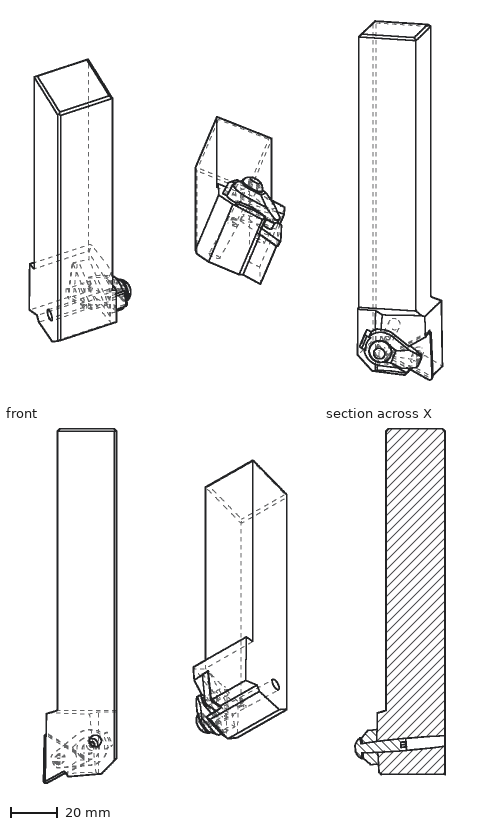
import cadquery as cq
import math

shank_side = 25.4
top_z = 151.9
edge_chamfer = 1.0

head_top_z = 30.0
head_step_z = 31.3
head_left_top = -4.7
head_left_bottom = -5.2
head_tip_z = 0.9
notch_x, notch_z = 2.9, 5.3
toe_left_x, toe_left_z = 4.7, 2.9
toe_right_x, toe_right_z = 18.8, 4.1
corner_z = 10.8
head_back_left = 28.4
head_back_crest = 30.1
head_back_lean = 4
recess_y = 27.0
recess_lean = 1
step_cove_radius = 0.8
crest_left_x = 9.7
ramp_start_x, ramp_end_x = 13.7, 17.5
bevel_top_z = 4.9
back_drop = (head_top_z - bevel_top_z) * math.tan(math.radians(head_back_lean))
head_slope = (head_step_z - head_top_z) / (head_back_crest - shank_side)
beyond = 45.5

tilt_angle = 5

shim_edge = 22.6
shim_thickness = 2.7
shim_corner_radius = 1.0
lead_angle = 1.5
shim_tip_x, shim_tip_z = -5.8, -0.5
seat_y = 18.2
pocket_overrun = 4.5

pin_diameter = 4.0
pin_above_shim = 3.5
pin_in_holder = 4.5
pin_socket_width = 1.8
pin_socket_depth = 0.9

axis_x, axis_z = 16.3, 18.2
hole_diameter = 5.0
clamp_base = 25.5
clamp_top = 35.5
nose_underside = 28.0
nose_end_top = 29.5
heel_top = 33.4
screw_end = 16.7
washer_thickness = 0.6
screw_head_height = 2.5
screw_head_diameter = 9.7
screw_head_flat = 4.9
screw_dome_middle = 8.2
screw_socket_width = 2.5
screw_socket_depth = 2.3
clamp_radius = 7.6
clamp_bevel = 2.9
nose_length = 17.2
nose_end_width = 5.5
nose_corner_radius = 1.8
nose_slope_start = 6.1
heel_length = 9.1
heel_width = 6.1
heel_chamfer = 1.2
nose_turn = 22


def facing_back(x, y, z):
    """Workplane whose normal is +Y, with local x along X and local y along -Z."""
    return cq.Workplane(cq.Plane((x, y, z), xDir=(1, 0, 0), normal=(0, 1, 0)))


def tilted(body, x, y, z):
    """Lean a body built along +Y towards -Z and -X about the given point."""
    leaned = body.rotate((x, y, z), (x + 1.5, y, z), -tilt_angle)
    return leaned.rotate((x, y, z), (x, y, z + 1.5), tilt_angle)


def along_axis(body):
    return tilted(body, axis_x, 0, axis_z)


def on_seat(body):
    return tilted(body, shim_tip_x, seat_y, shim_tip_z)


def triangle_points(overrun):
    """Corners of the shim triangle; two of them are pulled outwards by the overrun."""
    def direction(degrees):
        return math.cos(math.radians(degrees)), math.sin(math.radians(degrees))

    edge_turn = 60
    up = direction(90 - lead_angle)
    across = direction(90 - lead_angle - edge_turn)
    fall = direction(90 - lead_angle - 2 * edge_turn)
    inner = (shim_edge * across[0], shim_edge * across[1])
    tip = (-overrun * across[0], -overrun * across[1])
    upper = (shim_edge * up[0] - overrun * fall[0], shim_edge * up[1] - overrun * fall[1])
    return [tip, upper, inner]


def triangle_prism(overrun, height):
    points = [(x, -z) for x, z in triangle_points(overrun)]
    return facing_back(shim_tip_x, seat_y, shim_tip_z).polyline(points).close().extrude(height)


def pin_workplane(height):
    corners = triangle_points(0)
    centre_x = shim_tip_x + sum(x for x, _ in corners) / len(corners)
    centre_z = shim_tip_z + sum(z for _, z in corners) / len(corners)
    return facing_back(centre_x, seat_y + height, centre_z)


def make_shank():
    shank = cq.Workplane("XY").box(shank_side, shank_side, top_z - head_top_z, centered=False)
    shank = shank.translate((0, 0, head_top_z))
    return shank.faces(">Z").chamfer(edge_chamfer)


def upright_prism(outline, hinge_y, lean):
    """Prism along Z, leaned about an X line at the given Y and the top of the head."""
    prism = cq.Workplane("XY").polyline(outline).close().extrude(2 * beyond, both=True)
    return prism.rotate((0, hinge_y, head_top_z), (1, hinge_y, head_top_z), lean)


def make_head():
    outline = [
        (0, head_step_z),
        (head_left_top, head_top_z),
        (head_left_bottom, head_tip_z),
        (notch_x, notch_z),
        (toe_left_x, toe_left_z),
        (toe_right_x, toe_right_z),
        (shank_side, corner_z),
        (shank_side, head_step_z),
    ]
    head = cq.Workplane("XZ").polyline(outline).close().extrude(-beyond)

    back_outline = [
        (head_left_bottom, -head_top_z),
        (head_left_bottom, head_back_left),
        (crest_left_x, head_back_crest),
        (shank_side, head_back_crest),
        (shank_side, -head_top_z),
    ]
    head = head.intersect(upright_prism(back_outline, head_back_crest, -head_back_lean))

    recess_outline = [
        (ramp_start_x, head_back_crest),
        (ramp_end_x, recess_y),
        (beyond, recess_y),
        (beyond, beyond),
        (ramp_start_x, beyond),
    ]
    head = head.cut(upright_prism(recess_outline, recess_y, recess_lean))

    lower_back = head_back_crest - back_drop
    side_outline = [
        (0, 0),
        (lower_back - bevel_top_z, 0),
        (lower_back, bevel_top_z),
        (beyond, bevel_top_z),
        (beyond, head_top_z - (beyond - head_back_crest) * head_slope),
        (shank_side, head_step_z),
        (0, head_step_z),
    ]
    side = cq.Workplane("YZ").polyline(side_outline).close().extrude(beyond, both=True)
    return head.intersect(side)


def make_holder():
    holder = make_shank().union(make_head())

    step_edges = cq.selectors.BoxSelector(
        (-step_cove_radius, -step_cove_radius, head_step_z - step_cove_radius),
        (step_cove_radius, 2 * shank_side, head_step_z + step_cove_radius),
    )
    holder = holder.edges("|Y").edges(step_edges).fillet(step_cove_radius)

    corner_edge = cq.selectors.BoxSelector(
        (shank_side - edge_chamfer / 2, -edge_chamfer / 2, corner_z - edge_chamfer),
        (shank_side + edge_chamfer / 2, edge_chamfer / 2, top_z),
    )
    holder = holder.edges("|Z").edges(corner_edge).chamfer(edge_chamfer)

    holder = holder.cut(on_seat(triangle_prism(pocket_overrun, beyond)))
    holder = holder.cut(on_seat(pin_shaft()))
    hole = facing_back(axis_x, -hole_diameter, axis_z).circle(hole_diameter / 2).extrude(beyond)
    return holder.cut(along_axis(hole))


def pin_shaft():
    length = pin_in_holder + shim_thickness + pin_above_shim
    return pin_workplane(-pin_in_holder).circle(pin_diameter / 2).extrude(length)


def make_shim():
    shim = triangle_prism(0, shim_thickness).edges("|Y").fillet(shim_corner_radius)
    return on_seat(shim.cut(pin_shaft()))


def make_pin():
    socket = pin_workplane(shim_thickness + pin_above_shim)
    socket = socket.polygon(6, pin_socket_width).extrude(-pin_socket_depth)
    return on_seat(pin_shaft().cut(socket))


def make_clamp(holder):
    """Round boss with a tapered nose and a heel tab; its underside fits the back of the head."""
    half_nose = nose_end_width / 2
    nose_corner_angle = math.atan2(half_nose, -nose_length)
    tangent_angle = nose_corner_angle - math.acos(clamp_radius / math.hypot(nose_length, half_nose))
    tangent_x = clamp_radius * math.cos(tangent_angle)
    tangent_z = clamp_radius * math.sin(tangent_angle)
    boss = (
        facing_back(0, clamp_base, 0)
        .moveTo(-nose_length, -half_nose)
        .lineTo(tangent_x, -tangent_z)
        .threePointArc((clamp_radius, 0), (tangent_x, tangent_z))
        .lineTo(-nose_length, half_nose)
        .close()
        .extrude(clamp_top - clamp_base)
        .faces(">Y")
        .chamfer(clamp_bevel)
    )
    side_outline = [
        (-nose_length, nose_underside),
        (0, nose_underside),
        (0, clamp_base),
        (clamp_radius, clamp_base),
        (clamp_radius, clamp_top),
        (-nose_slope_start, clamp_top),
        (-nose_length, nose_end_top),
    ]
    side = cq.Workplane("XY").polyline(side_outline).close().extrude(clamp_radius, both=True)
    heel = (
        cq.Workplane("XY")
        .box(heel_length, heel_top - clamp_base, heel_width, centered=(False, False, True))
        .translate((0, clamp_base, 0))
        .edges(">X and >Y")
        .chamfer(heel_chamfer)
    )
    boss = boss.intersect(side).edges("<X and |Y").fillet(nose_corner_radius)
    clamp = boss.union(heel).rotate((0, 0, 0), (0, 1, 0), -nose_turn)
    hole = facing_back(0, 0, 0).circle(hole_diameter / 2).extrude(beyond)
    clamp = clamp.cut(hole).translate((axis_x, 0, axis_z))
    return along_axis(clamp).cut(holder)


def make_washer():
    washer = facing_back(axis_x, clamp_top, axis_z)
    washer = washer.circle(screw_head_diameter / 2).circle(hole_diameter / 2)
    return along_axis(washer.extrude(washer_thickness))


def make_clamp_screw():
    """Screw with a domed head and a hexagon socket in its far end."""
    head_base = clamp_top + washer_thickness
    head_end = head_base + screw_head_height
    profile = (
        cq.Workplane("XY")
        .moveTo(0, screw_end)
        .lineTo(hole_diameter / 2, screw_end)
        .lineTo(hole_diameter / 2, head_base)
        .lineTo(screw_head_diameter / 2, head_base)
        .threePointArc(
            (screw_dome_middle / 2, head_base + screw_head_height / 2),
            (screw_head_flat / 2, head_end),
        )
        .lineTo(0, head_end)
        .close()
    )
    screw = profile.revolve(360, (0, 0, 0), (0, 1, 0)).translate((axis_x, 0, axis_z))
    socket = facing_back(axis_x, screw_end, axis_z).polygon(6, screw_socket_width)
    return along_axis(screw.cut(socket.extrude(screw_socket_depth)))


holder = make_holder()
shim = make_shim()
pin = make_pin()
clamp = make_clamp(holder)
washer = make_washer()
clamp_screw = make_clamp_screw()

result = cq.Compound.makeCompound([
    holder.val(),
    shim.val(),
    pin.val(),
    clamp.val(),
    washer.val(),
    clamp_screw.val(),
])